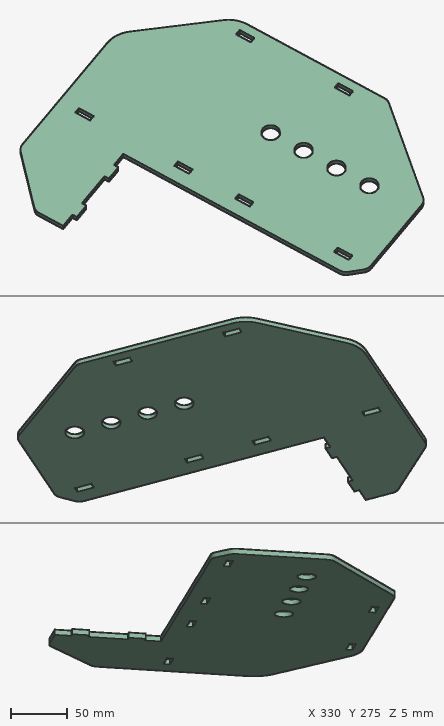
import cadquery as cq

length = 330.0
width = 275.0
thickness = 5.0

leg_width = 80.0
panel_bottom = 95.5
tab_depth = 4.5
tab_length = 15.2
tab_starts = (15.0, 65.7)

upper_left_cut = (80.0, 73.3)
upper_right_cut = (89.0, 74.5)
lower_right_cut = (16.0, 16.0)
lower_left_cut = (50.0, 50.0)
large_corner_radius = 29.7
small_corner_radius = 10.0

hole_diameter = 16.5
hole_count = 4
hole_pitch = 35.0
first_hole_x = 175.0
hole_row_y = 187.5

slot_length = 15.5
slot_width = 5.5
lower_slot_y = 112.5
lower_slot_xs = (27.0, 132.3, 197.0, 302.3)
upper_slot_y = 263.0
upper_slot_xs = (97.0, 202.0)

upper_left = [(0, width - upper_left_cut[1]), (upper_left_cut[0], width)]
upper_right = [(length - upper_right_cut[0], width), (length, width - upper_right_cut[1])]
lower_right = [
    (length, panel_bottom + lower_right_cut[1]),
    (length - lower_right_cut[0], panel_bottom),
]
lower_left = [(lower_left_cut[0], 0), (0, lower_left_cut[1])]
leg_corners = [(leg_width, panel_bottom), (leg_width, 0)]


def round_corners(plate, corners, radius):
    """Round the vertical plate edges standing at the given corners."""
    for x, y in corners:
        nearest_edge = cq.selectors.NearestToPointSelector((x, y, thickness / 2))
        plate = plate.edges("|Z").edges(nearest_edge).fillet(radius)
    return plate


def make_plate():
    outline = upper_left + upper_right + lower_right + leg_corners + lower_left
    plate = cq.Workplane("XY").polyline(outline).close().extrude(thickness)
    plate = round_corners(plate, upper_left, large_corner_radius)
    return round_corners(plate, upper_right + lower_right + lower_left, small_corner_radius)


def make_tab(start_y):
    tab = cq.Workplane("XY").box(2 * tab_depth, tab_length, thickness, centered=(True, False, False))
    return tab.translate((leg_width, start_y, 0))


def make_holes():
    centers = [(first_hole_x + i * hole_pitch, hole_row_y) for i in range(hole_count)]
    return cq.Workplane("XY").pushPoints(centers).circle(hole_diameter / 2).extrude(thickness)


def make_slots():
    lower_row = [(x, lower_slot_y) for x in lower_slot_xs]
    upper_row = [(x, upper_slot_y) for x in upper_slot_xs]
    slots = cq.Workplane("XY").pushPoints(lower_row + upper_row)
    return slots.rect(slot_length, slot_width).extrude(thickness)


result = make_plate()
for tab_start in tab_starts:
    result = result.union(make_tab(tab_start))
result = result.cut(make_holes()).cut(make_slots())